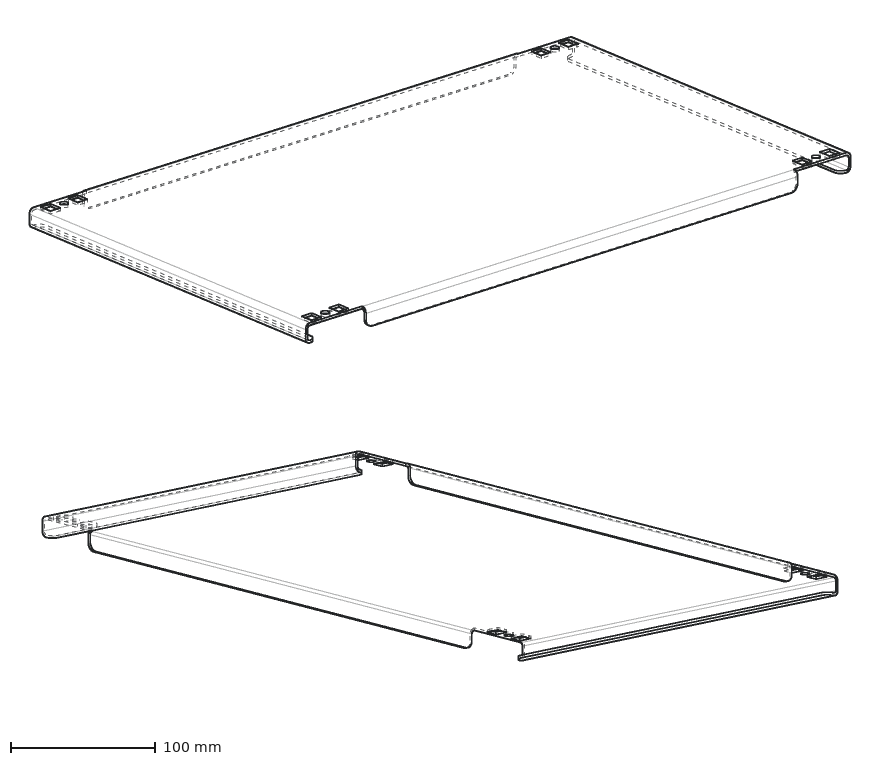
import cadquery as cq
import math

overall_width = 299.0
overall_length = 500.0
overall_height = 15.0

sheet = 2.0
outer_bend = 4.0
inner_bend = outer_bend - sheet

side_flange_length = 396.0
side_flange_corner = 6.0

lip_depth = 10.0
lip_corner = 5.8

hole_inset_x = 12.0
hole_inset_y = 25.0
hole_pitch = 12.5
slot_width = 10.0
slot_height = 9.0
round_hole_diameter = 6.0

half_width = overall_width / 2
half_length = overall_length / 2
panel_width = overall_width - 2 * outer_bend
bend_offset = outer_bend / math.sqrt(2)
inner_offset = inner_bend / math.sqrt(2)


def hooked_panel():
    """Flat panel with a C-shaped hook at each end, extruded along X."""
    bend_y = half_length - outer_bend
    lip_y = half_length - lip_depth
    inner_y = half_length - sheet
    top_z = -outer_bend
    bottom_z = outer_bend - overall_height
    half_panel = (
        cq.Workplane("YZ", origin=(-panel_width / 2, 0, 0))
        .moveTo(0, 0)
        .lineTo(bend_y, 0)
        .threePointArc((bend_y + bend_offset, top_z + bend_offset), (half_length, top_z))
        .lineTo(half_length, bottom_z)
        .threePointArc((bend_y + bend_offset, bottom_z - bend_offset), (bend_y, -overall_height))
        .lineTo(lip_y, -overall_height)
        .lineTo(lip_y, sheet - overall_height)
        .lineTo(bend_y, sheet - overall_height)
        .threePointArc((bend_y + inner_offset, bottom_z - inner_offset), (inner_y, bottom_z))
        .lineTo(inner_y, top_z)
        .threePointArc((bend_y + inner_offset, top_z + inner_offset), (bend_y, -sheet))
        .lineTo(0, -sheet)
        .close()
        .extrude(panel_width)
    )
    lip_end_centre = (0, lip_y, sheet / 2 - overall_height)
    lip_end = half_panel.faces(cq.NearestToPointSelector(lip_end_centre))
    half_panel = lip_end.edges("|Z").fillet(lip_corner)
    return half_panel.union(half_panel.mirror("XZ"))


def side_flange():
    """Flange on the +X edge, with its two lower corners rounded."""
    bend_x = half_width - outer_bend
    bend_z = -outer_bend
    inner_x = half_width - sheet
    return (
        cq.Workplane("XZ", origin=(0, side_flange_length / 2, 0))
        .moveTo(bend_x, 0)
        .threePointArc((bend_x + bend_offset, bend_z + bend_offset), (half_width, bend_z))
        .lineTo(half_width, -overall_height)
        .lineTo(inner_x, -overall_height)
        .lineTo(inner_x, bend_z)
        .threePointArc((bend_x + inner_offset, bend_z + inner_offset), (bend_x, -sheet))
        .close()
        .extrude(side_flange_length)
        .faces("<Z")
        .edges("|X")
        .fillet(side_flange_corner)
    )


def corner_holes(side_x, side_y):
    """Cutters for the three holes at one corner, passing through the panel only."""
    x = side_x * (half_width - hole_inset_x)
    y = side_y * (half_length - hole_inset_y)
    slots = (
        cq.Workplane("XY")
        .pushPoints([(x, y - hole_pitch), (x, y + hole_pitch)])
        .rect(slot_width, slot_height)
        .extrude(-sheet)
    )
    round_hole = cq.Workplane("XY").center(x, y).circle(round_hole_diameter / 2).extrude(-sheet)
    return slots.union(round_hole)


flange = side_flange()
result = hooked_panel().union(flange).union(flange.mirror("YZ"))
for side_x in (-1, 1):
    for side_y in (-1, 1):
        result = result.cut(corner_holes(side_x, side_y))